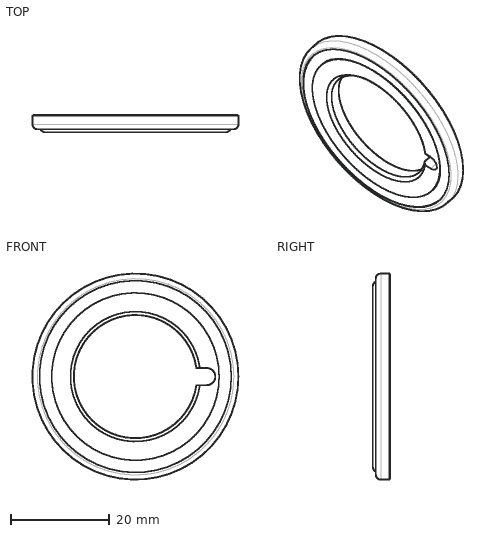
import cadquery as cq

outer_radius = 21.0
overall_thickness = 3.6
disc_thickness = 3.0
rear_chamfer = 0.25
front_fillet = 1.0

bore_radius = 12.5
bore_chamfer = 0.7

bead_inner_radius = 17.05
bead_outer_radius = 19.55
bead_middle_radius = (bead_inner_radius + bead_outer_radius) / 2
bead_section_radius = (bead_outer_radius - bead_inner_radius) / 2

slot_width = 3.45
slot_end_radius = 16.25


def make_ring():
    """Revolve the ring section, bead included, about the Y axis."""
    front = -disc_thickness
    bead_center = bead_section_radius - overall_thickness
    fillet_start = outer_radius - front_fillet
    return (
        cq.Workplane("XY")
        .moveTo(bore_radius, 0)
        .lineTo(outer_radius - rear_chamfer, 0)
        .lineTo(outer_radius, -rear_chamfer)
        .lineTo(outer_radius, front + front_fillet)
        .radiusArc((fillet_start, front), front_fillet)
        .lineTo(bead_outer_radius, front)
        .lineTo(bead_outer_radius, bead_center)
        .threePointArc((bead_middle_radius, -overall_thickness), (bead_inner_radius, bead_center))
        .lineTo(bead_inner_radius, front)
        .lineTo(bore_radius + bore_chamfer, front)
        .lineTo(bore_radius, front + bore_chamfer)
        .close()
        .revolve(360, (0, 0, 0), (0, 1, 0))
    )


def make_key_slot():
    """Cutter for the key slot, open to the bore at its inner end."""
    end_center = slot_end_radius - slot_width / 2
    straight = cq.Workplane("XZ").center(end_center / 2, 0).rect(end_center, slot_width)
    round_end = cq.Workplane("XZ").center(end_center, 0).circle(slot_width / 2)
    return straight.extrude(overall_thickness).union(round_end.extrude(overall_thickness))


result = make_ring().cut(make_key_slot())